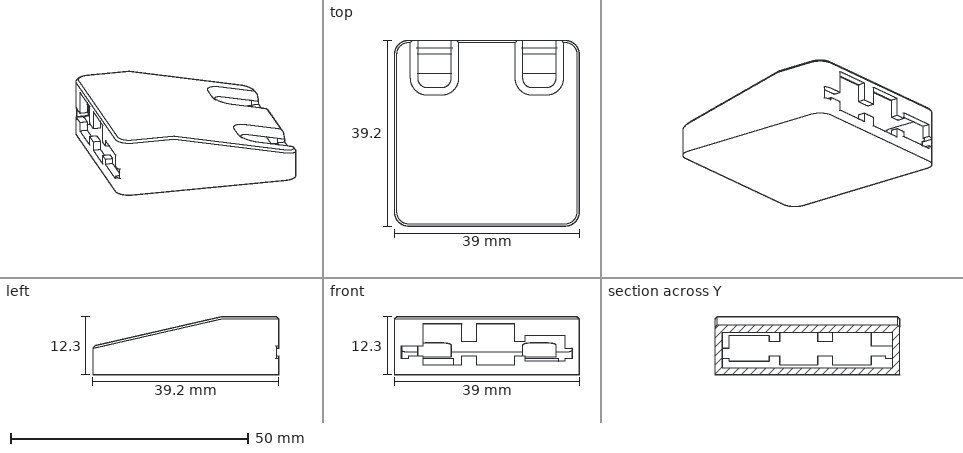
import cadquery as cq
import math

LENGTH_X = 39.0
LENGTH_Y = 39.2
HEIGHT = 12.3
CORNER_RADIUS = 3.0
TOP_CHAMFER = 0.5
BACK_HEIGHT = 6.1
RIDGE_Y = -7.5

WALL = 1.6
FLOOR = 1.5

LATCH_SPACING = 22.1
WINDOW_WIDTH = 7.0
WINDOW_DEPTH = 10.0
WINDOW_CORNER_RADIUS = 2.0
WINDOW_CHAMFER = 1.6
SILL_Z = 3.8

RAMP_WIDTH = 8.0
RAMP_TOP_Z = 3.5
RAMP_LEDGE_Y = 16.7
RAMP_FOOT_Y = 12.6

SLIT_HALF_WIDTH = 18.1
LIP_Z = 4.0
RIB_BOTTOM_Z = 7.0
SLIT_END_BOTTOM_Z = 3.5
SLIT_LEFT_TOP_Z = 6.1
SLIT_RIGHT_TOP_Z = 5.6
TALL_PORT_Z = (2.1, 10.85)
LOW_PORT_Z = (2.9, 8.3)
LEFT_PORT_X = (-13.45, -5.3)
MIDDLE_PORT_X = (-2.15, 5.8)
RIGHT_PORT_START_X = 8.05

BACK_Y = LENGTH_Y / 2
FRONT_Y = -BACK_Y
FLAT_FRONT_X = LENGTH_X / 2 - CORNER_RADIUS
LATCH_CENTERS_X = (-LATCH_SPACING / 2, LATCH_SPACING / 2)
ROOF_SLOPE = (HEIGHT - BACK_HEIGHT) / (BACK_Y - RIDGE_Y)
ROOF_ANGLE = math.atan(ROOF_SLOPE)

OVERRUN = 5.0
TOLERANCE = 1e-4


def box(x_range, y_range, z_range):
    """Axis-aligned box from three (min, max) pairs."""
    corner = (x_range[0], y_range[0], z_range[0])
    size = [high - low for low, high in (x_range, y_range, z_range)]
    return cq.Workplane("XY").box(*size, centered=False).translate(corner)


def roof_z(y):
    """Height of the sloping part of the roof at a given y."""
    return HEIGHT - ROOF_SLOPE * (y - RIDGE_Y)


def wedge_under_roof(offset, base_z):
    """Solid below the roof line moved inward by offset, wider and longer than the body."""
    top_z = HEIGHT - offset
    ridge_y = RIDGE_Y - offset * math.tan(ROOF_ANGLE / 2)
    start_y = FRONT_Y - OVERRUN
    end_y = BACK_Y + OVERRUN
    profile = [
        (start_y, base_z),
        (end_y, base_z),
        (end_y, top_z - ROOF_SLOPE * (end_y - ridge_y)),
        (ridge_y, top_z),
        (start_y, top_z),
    ]
    return cq.Workplane("YZ").polyline(profile).close().extrude(LENGTH_X / 2 + OVERRUN, both=True)


def rounded_prism(offset, base_z):
    """Body outline moved inward by offset, raised from base_z to the full height."""
    return (
        cq.Workplane("XY", origin=(0, 0, base_z))
        .rect(LENGTH_X - 2 * offset, LENGTH_Y - 2 * offset)
        .extrude(HEIGHT - base_z)
        .edges("|Z")
        .fillet(CORNER_RADIUS - offset)
    )


def sloped_solid(offset, base_z):
    """Rounded box with the ridged roof, moved inward by offset and standing on base_z."""
    return rounded_prism(offset, base_z).intersect(wedge_under_roof(offset, base_z))


def is_roof_rim(edge):
    """True for edges around the roof, leaving out the base, the uprights and the ridge."""
    bounds = edge.BoundingBox()
    at_base = bounds.zmax < TOLERANCE
    upright = bounds.xlen < TOLERANCE and bounds.ylen < TOLERANCE
    ridge = bounds.ylen < TOLERANCE and abs(edge.Center().y - RIDGE_Y) < TOLERANCE
    return not (at_base or upright or ridge)


def outer_body():
    """Solid body with the whole roof rim chamfered."""
    body = sloped_solid(0, 0)
    rim = [edge for edge in body.edges().vals() if is_roof_rim(edge)]
    return body.newObject(rim).chamfer(TOP_CHAMFER)


def window_prism(center_x):
    """Upright prism of one latch window, running out past the back wall."""
    x_range = (center_x - WINDOW_WIDTH / 2, center_x + WINDOW_WIDTH / 2)
    y_range = (BACK_Y - WINDOW_DEPTH, BACK_Y + 2 * OVERRUN)
    prism = box(x_range, y_range, (SILL_Z, HEIGHT))
    return prism.edges("|Z and <Y").fillet(WINDOW_CORNER_RADIUS)


def is_window_rim(edge):
    """True for the edges where a latch window meets the sloping roof."""
    middle = edge.positionAt(0.5)
    on_roof = abs(middle.z - roof_z(middle.y)) < TOLERANCE
    at_window = abs(abs(middle.x) - LATCH_SPACING / 2) < WINDOW_WIDTH / 2 + TOLERANCE
    beside_ridge = middle.y > RIDGE_Y + TOLERANCE
    before_end = middle.y < BACK_Y + OVERRUN - TOLERANCE
    return on_roof and at_window and beside_ridge and before_end


def wedge_with_windows():
    """Oversize wedge with both latch windows cut and their roof edges chamfered."""
    wedge = wedge_under_roof(0, 0)
    for center_x in LATCH_CENTERS_X:
        wedge = wedge.cut(window_prism(center_x))
    rim = [edge for edge in wedge.edges().vals() if is_window_rim(edge)]
    return wedge.newObject(rim).chamfer(WINDOW_CHAMFER)


def front_openings():
    """Cutters for the ports and the slit, listed from left to right."""
    wall_y = (FRONT_Y, FRONT_Y + WALL)
    corner_y = (FRONT_Y, FRONT_Y + CORNER_RADIUS)
    left_port_start, left_port_end = LEFT_PORT_X
    middle_port_start, middle_port_end = MIDDLE_PORT_X
    rib_gap_z = (LIP_Z, RIB_BOTTOM_Z)
    return [
        box((-SLIT_HALF_WIDTH, -FLAT_FRONT_X), corner_y, (SLIT_END_BOTTOM_Z, SLIT_LEFT_TOP_Z)),
        box((-FLAT_FRONT_X, left_port_start), wall_y, (LIP_Z, SLIT_LEFT_TOP_Z)),
        box(LEFT_PORT_X, wall_y, TALL_PORT_Z),
        box((left_port_end, middle_port_start), wall_y, rib_gap_z),
        box(MIDDLE_PORT_X, wall_y, TALL_PORT_Z),
        box((middle_port_end, RIGHT_PORT_START_X), wall_y, rib_gap_z),
        box((RIGHT_PORT_START_X, FLAT_FRONT_X), wall_y, LOW_PORT_Z),
        box((FLAT_FRONT_X, SLIT_HALF_WIDTH), corner_y, (SLIT_END_BOTTOM_Z, SLIT_RIGHT_TOP_Z)),
    ]


def ramp(center_x):
    """Ramp that rises from the floor to a flat ledge against the back wall."""
    wall_y = BACK_Y - WALL
    profile = [
        (RAMP_FOOT_Y, FLOOR),
        (RAMP_LEDGE_Y, RAMP_TOP_Z),
        (wall_y, RAMP_TOP_Z),
        (wall_y, FLOOR),
    ]
    section = cq.Workplane("YZ", origin=(center_x, 0, 0)).polyline(profile).close()
    return section.extrude(RAMP_WIDTH / 2, both=True)


result = outer_body().intersect(wedge_with_windows())
result = result.cut(sloped_solid(WALL, FLOOR))
for opening in front_openings():
    result = result.cut(opening)
for latch_x in LATCH_CENTERS_X:
    result = result.union(ramp(latch_x))